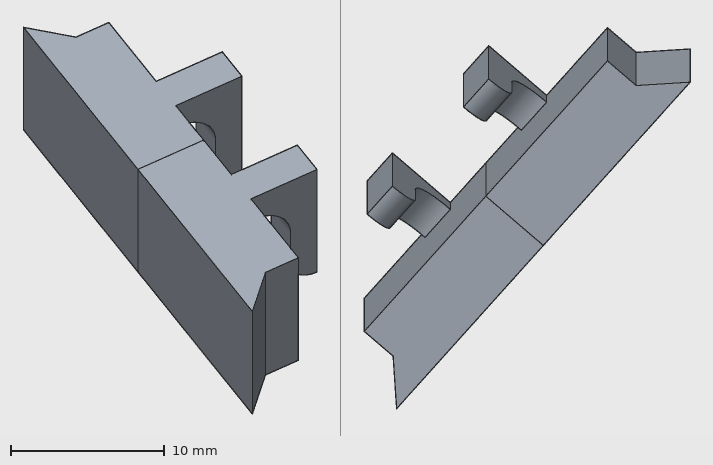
import cadquery as cq
import math

length = 29.0
depth = 10.0
height = 10.0
half_length = length / 2

plate_depth = 5.0
flare = 2.5

hook_inner_x = 3.5
hook_width = 2.5
hook_reach = depth - plate_depth
finger_thickness = 2.0
tip_radius = finger_thickness
throat_radius = hook_reach - finger_thickness
arm_thickness = 2.1


def make_plate():
    """Right-hand half plate whose outer end flares out to the front edge."""
    back_half_length = half_length - flare
    return (
        cq.Workplane("XY")
        .moveTo(0, 0)
        .lineTo(half_length, 0)
        .lineTo(back_half_length, flare)
        .lineTo(back_half_length, plate_depth)
        .lineTo(0, plate_depth)
        .close()
        .extrude(height)
    )


def make_hook():
    """Arm at the top of the plate's back, with a finger hanging from its end."""
    finger_y = depth - finger_thickness
    throat_z = height - arm_thickness
    diagonal = math.cos(math.pi / 4)
    throat_mid = (
        plate_depth + throat_radius * diagonal,
        throat_z - throat_radius * (1 - diagonal),
    )
    tip_mid = (depth - tip_radius * diagonal, tip_radius * (1 - diagonal))
    return (
        cq.Workplane("YZ", origin=(hook_inner_x, 0, 0))
        .moveTo(plate_depth, height)
        .lineTo(depth, height)
        .lineTo(depth, 0)
        .threePointArc(tip_mid, (finger_y, tip_radius))
        .lineTo(finger_y, throat_z - throat_radius)
        .threePointArc(throat_mid, (plate_depth, throat_z))
        .close()
        .extrude(hook_width)
    )


def make_half():
    """Right-hand half: plate and hook as one solid."""
    return make_plate().union(make_hook())


right_half = make_half()
left_half = right_half.mirror("YZ")

result = cq.Compound.makeCompound([left_half.val(), right_half.val()])